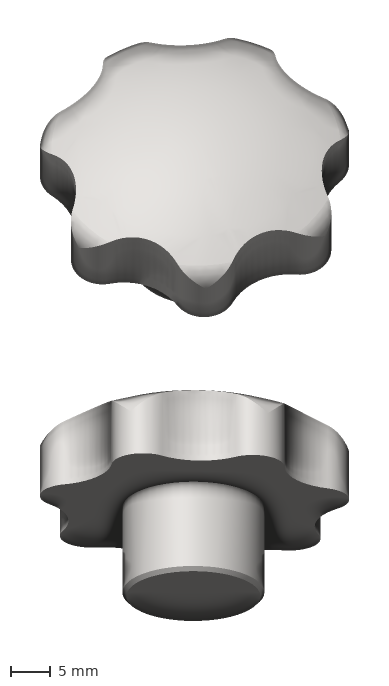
import cadquery as cq
import math

total_height = 25.0
stem_height = 12.0
stem_diameter = 18.0
stem_chamfer = 0.5

lobe_count = 7
tip_radius = 20.0
lobe_radius = 4.0
scallop_radius = 8.0
first_lobe_angle = 90.0

dome_radius = 40.0
rim_radius = 3.0

lobe_pitch = 360.0 / lobe_count
half_pitch = math.radians(lobe_pitch / 2)
lobe_offset = tip_radius - lobe_radius
center_gap = lobe_radius + scallop_radius
scallop_offset = lobe_offset * math.cos(half_pitch) + math.sqrt(
    center_gap**2 - (lobe_offset * math.sin(half_pitch)) ** 2
)


def polar(radius, angle):
    """Point at a radius from the knob axis and an angle in degrees."""
    return (radius * math.cos(math.radians(angle)), radius * math.sin(math.radians(angle)))


def tangent_point(lobe_angle, scallop_angle):
    """Point where a lobe arc meets the neighbouring scallop arc."""
    lobe_x, lobe_y = polar(lobe_offset, lobe_angle)
    scallop_x, scallop_y = polar(scallop_offset, scallop_angle)
    share = lobe_radius / center_gap
    return (lobe_x + share * (scallop_x - lobe_x), lobe_y + share * (scallop_y - lobe_y))


def star_prism():
    """Lobed outline extruded over the full height of the head."""
    before_first = first_lobe_angle - lobe_pitch / 2
    outline = cq.Workplane("XY", origin=(0, 0, stem_height))
    outline = outline.moveTo(*tangent_point(first_lobe_angle, before_first))
    for index in range(lobe_count):
        lobe_angle = first_lobe_angle + index * lobe_pitch
        scallop_angle = lobe_angle + lobe_pitch / 2
        next_lobe_angle = lobe_angle + lobe_pitch
        outline = outline.threePointArc(
            polar(tip_radius, lobe_angle), tangent_point(lobe_angle, scallop_angle)
        ).threePointArc(
            polar(scallop_offset - scallop_radius, scallop_angle),
            tangent_point(next_lobe_angle, scallop_angle),
        )
    return outline.close().extrude(total_height - stem_height)


def dome_envelope():
    """Round body with a spherical top and a tangent rounded rim."""
    sphere_z = total_height - dome_radius
    rim_x = tip_radius - rim_radius
    rim_angle = math.asin(rim_x / (dome_radius - rim_radius))
    rim_z = sphere_z + (dome_radius - rim_radius) * math.cos(rim_angle)

    def on_sphere(angle):
        return (dome_radius * math.sin(angle), sphere_z + dome_radius * math.cos(angle))

    rim_middle = (math.pi / 2 + rim_angle) / 2
    rim_middle_point = (
        rim_x + rim_radius * math.sin(rim_middle),
        rim_z + rim_radius * math.cos(rim_middle),
    )
    return (
        cq.Workplane("XZ")
        .moveTo(0, stem_height)
        .lineTo(tip_radius, stem_height)
        .lineTo(tip_radius, rim_z)
        .threePointArc(rim_middle_point, on_sphere(rim_angle))
        .threePointArc(on_sphere(rim_angle / 2), (0, total_height))
        .close()
        .revolve(360, (0, 0, 0), (0, 1, 0))
    )


def stem():
    """Round stem with a chamfered lower edge."""
    return (
        cq.Workplane("XY")
        .circle(stem_diameter / 2)
        .extrude(stem_height)
        .faces("<Z")
        .edges()
        .chamfer(stem_chamfer)
    )


head = star_prism().intersect(dome_envelope())
result = head.union(stem())